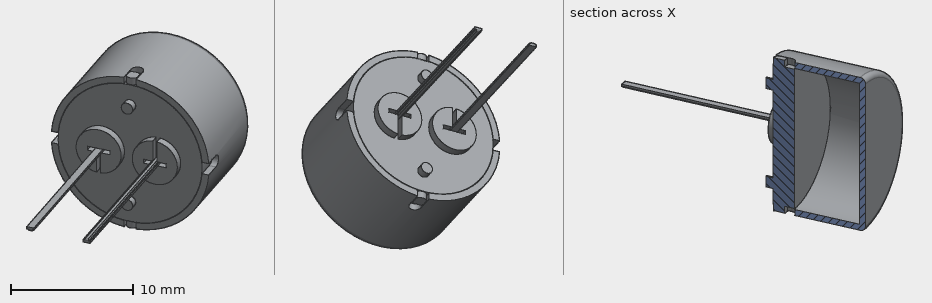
import cadquery as cq

outer_diameter = 14.0
overall_length = 23.5
housing_length = 8.5
rim_fillet = 0.5

wall = 0.59
notch_width = 1.05
notch_length = 2.0

base_gap = 0.035
base_thickness = notch_length
lug_gap = 0.059
lug_setback = 0.05
lug_back = 1.1

boss_height = 0.7
boss_diameter = 4.0
boss_offset = 2.5
peg_diameter = 1.0
peg_offset = 4.5
peg_height = 0.65

plate_width = 0.63
plate_thickness = 0.2
rib_base_width = 0.42
rib_top_width = 0.28
pin_height = 0.35
rib_tip_radius = 0.13
recess_width = 2.0
recess_clearance = 0.07
channel_width = 0.35

outer_radius = outer_diameter / 2
inner_radius = outer_radius - wall
base_radius = inner_radius - base_gap
pin_length = overall_length - housing_length
plate_bottom = -pin_height / 2
plate_top = plate_bottom + plate_thickness


def cylinder_y(radius, y_start, y_end, x=0, z=0):
    """Solid cylinder along Y between two Y positions."""
    axis = cq.Vector(0, 1, 0)
    return cq.Workplane(cq.Solid.makeCylinder(radius, y_end - y_start, cq.Vector(x, y_start, z), axis))


def cylinder_z(radius, y, z_range):
    """Solid cylinder along Z at X = 0, between two heights."""
    return cq.Workplane(cq.Solid.makeCylinder(radius, z_range[1] - z_range[0], cq.Vector(0, y, z_range[0])))


def block(x_size, y_range, z_range, x=0):
    """Rectangular block centred on x, between the given Y and Z limits."""
    corner = cq.Vector(x - x_size / 2, y_range[0], z_range[0])
    return cq.Workplane(cq.Solid.makeBox(x_size, y_range[1] - y_range[0], z_range[1] - z_range[0], corner))


def turned(shape, angle):
    """Copy of a shape turned about the Y axis."""
    return shape.rotate((0, 0, 0), (0, 1, 0), angle)


def notch_cutter():
    """Round-ended notch through the upper wall, open at Y = 0."""
    half_width = notch_width / 2
    straight = notch_length - half_width
    return (
        cq.Workplane("XY")
        .moveTo(-half_width, 0)
        .lineTo(-half_width, straight)
        .threePointArc((0, notch_length), (half_width, straight))
        .lineTo(half_width, 0)
        .close()
        .extrude(outer_radius)
    )


def make_housing():
    """Cup with a rounded closed end and four notches in its open rim."""
    cup = cylinder_y(outer_radius, 0, housing_length).faces(">Y").edges().fillet(rim_fillet)
    cup = cup.cut(cylinder_y(inner_radius, 0, housing_length - wall))
    for angle in (0, 90, 180, 270):
        cup = cup.cut(turned(notch_cutter(), angle))
    return cup


def make_lug():
    """Upper lug: a narrow key with a round nose, flush with the housing wall."""
    nose_radius = notch_width / 2
    nose_center = lug_setback + nose_radius
    lug_root = base_radius - wall
    heights = (lug_root, outer_radius)
    nose = cylinder_z(nose_radius, nose_center, heights)
    body = block(notch_width, (nose_center, lug_back), heights)
    key = block(notch_width - 2 * lug_gap, (lug_setback, lug_back), heights)
    return nose.union(body).intersect(key).intersect(cylinder_y(outer_radius, 0, lug_back))


def make_recess():
    """T-shaped recess in the right boss: a wide slot and a channel running up to the boss edge."""
    depth = (-boss_height, 0)
    slot_limits = (plate_bottom - recess_clearance, plate_top + recess_clearance)
    slot = block(recess_width, depth, slot_limits, boss_offset)
    channel = block(channel_width, depth, (plate_top, boss_diameter / 2), boss_offset)
    return slot.union(channel)


def make_base():
    """Plug with two lugs, two pegs and two recessed bosses."""
    base = cylinder_y(base_radius, 0, base_thickness)
    for angle in (0, 180):
        boss = cylinder_y(boss_diameter / 2, -boss_height, 0, x=boss_offset).cut(make_recess())
        peg = cylinder_y(peg_diameter / 2, -peg_height, 0, z=peg_offset)
        for feature in (make_lug(), boss, peg):
            base = base.union(turned(feature, angle))
    return base


def make_rib():
    """Tapered rib along the top of the right pin, with a rounded tip."""
    rib = (
        cq.Workplane("XZ")
        .center(boss_offset, 0)
        .moveTo(-rib_base_width / 2, plate_top)
        .lineTo(-rib_top_width / 2, pin_height / 2)
        .lineTo(rib_top_width / 2, pin_height / 2)
        .lineTo(rib_base_width / 2, plate_top)
        .close()
        .extrude(pin_length)
    )
    return rib.faces("<Y").edges(">Z").fillet(rib_tip_radius)


def make_pin():
    """Right pin: flat plate carrying the rib."""
    plate = block(plate_width, (-pin_length, 0), (plate_bottom, plate_top), boss_offset)
    return plate.union(make_rib())


housing = make_housing()
base = make_base()
pins = [turned(make_pin(), angle) for angle in (0, 180)]

result = cq.Compound.makeCompound([housing.val(), base.val(), *[pin.val() for pin in pins]])